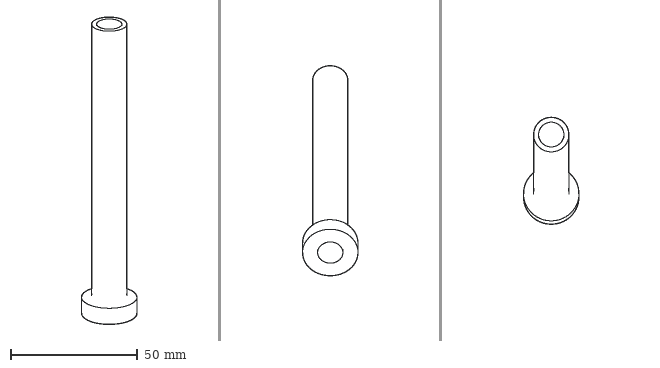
import cadquery as cq

total_length = 125.0
head_diameter = 22.0
head_height = 7.0
shank_diameter = 14.0
bore_diameter = 10.0
neck_fillet_radius = 0.8

head_radius = head_diameter / 2
shank_radius = shank_diameter / 2

outer_profile = (
    cq.Workplane("XZ")
    .lineTo(head_radius, 0)
    .lineTo(head_radius, head_height)
    .lineTo(shank_radius + neck_fillet_radius, head_height)
    .radiusArc((shank_radius, head_height + neck_fillet_radius), neck_fillet_radius)
    .lineTo(shank_radius, total_length)
    .lineTo(0, total_length)
    .close()
)
body = outer_profile.revolve(360, (0, 0, 0), (0, 1, 0))

bore = cq.Workplane("XY").circle(bore_diameter / 2).extrude(total_length)

result = body.cut(bore)